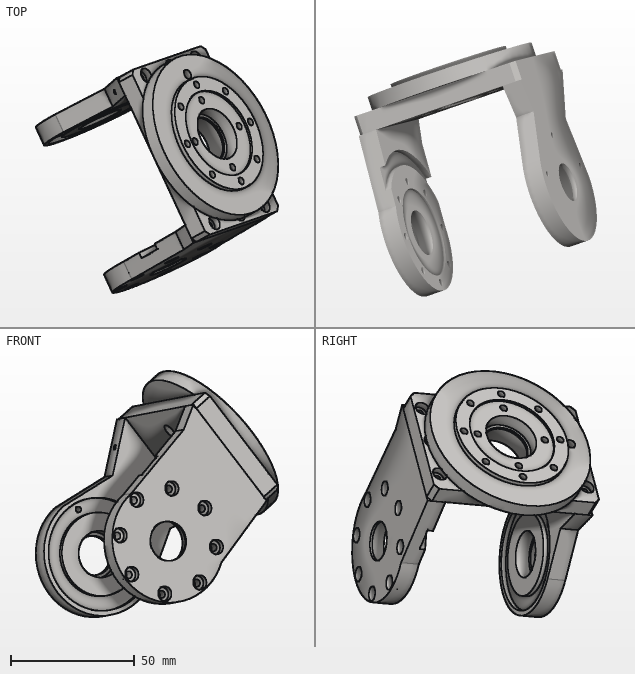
import cadquery as cq
import math


TURN_X = -51.35
TURN_Y = -4.62
TURN_Z = -65.12

YOKE_LENGTH = 74.0
ARM_THICKNESS = 8.0
ARM_HEIGHT = 45.0
ARM_END_RADIUS = 25.0
SIDE_LOW = -35.0
SIDE_HIGH = 15.0
MID_X = -YOKE_LENGTH / 2
MID_Y = (SIDE_LOW + SIDE_HIGH) / 2

BOLT_HOLE_RADIUS = 1.5
BOLT_HEAD_RADIUS = 3.0
BOLT_HEAD_DEPTH = 3.0

BORE_RADIUS = 8.0
BEARING_RADIUS = 9.5

RING_RECESS_RADIUS = 18.5
RING_RECESS_DEPTH = 1.0
RING_BOLT_CIRCLE = 21.5
RING_BOLT_COUNT = 8

NEAR_INNER_X = -ARM_THICKNESS
NEAR_KNEE = (-30.0, 35.0)
NEAR_FLANK_RUN_PER_RISE = 0.2
NEAR_LIP = 1.0
CLEARANCE_INNER_RADIUS = 28.5
CLEARANCE_OUTER_RADIUS = 35.0
CLEARANCE_DEPTH = 2.5

FAR_OUTER_X = -YOKE_LENGTH
FAR_INNER_X = FAR_OUTER_X + ARM_THICKNESS
FAR_WAIST_LOW = (-20.7, 25.3)
FAR_WAIST_HIGH = (11.7, 31.3)
FAR_LIP = 2.0
SEAL_INNER_RADIUS = 17.0
SEAL_OUTER_RADIUS = 23.0
SEAL_DEPTH = 2.0
PIN_CIRCLE = 20.0
PIN_RADIUS = 1.2
PIN_ANGLES = (15.0, 90.0, 165.0)
SIDE_HOLE_RADIUS = 1.0
SIDE_HOLE_DEPTH = 10.0

PLATE_THICKNESS = 8.0
PLATE_CHAMFER = 2.0
PLATE_TOP = ARM_HEIGHT + PLATE_THICKNESS
PLATE_BORE_RADIUS = 10.0
ARM_BOLT_PITCH = 17.0
HUB_BOLT_CIRCLE = 15.0
HUB_BOLT_COUNT = 4
CABLE_HOLE_OFFSET = 27.0
CABLE_HOLE_RADIUS = 2.0

FLANGE_RADIUS = 35.0
FLANGE_THICKNESS = 6.0
COLLAR_RADIUS = 24.6
COLLAR_HEIGHT = 2.0
FLANGE_TOP = PLATE_TOP + FLANGE_THICKNESS
COLLAR_TOP = FLANGE_TOP + COLLAR_HEIGHT
FLANGE_BORE_RADIUS = 11.0
FLANGE_LIP_RADIUS = 9.7
FLANGE_LIP = 1.0


def bar_x(radius, x_start, x_end, y=0.0, z=0.0):
    """Round bar parallel to x."""
    return cq.Workplane("YZ", origin=(x_start, y, z)).circle(radius).extrude(x_end - x_start)


def bar_z(radius, z_start, z_end, x=MID_X, y=MID_Y):
    """Round bar parallel to z, by default on the flange axis."""
    return cq.Workplane("XY", origin=(x, y, z_start)).circle(radius).extrude(z_end - z_start)


def on_circle(radius, angle):
    """Point at an angle in degrees on a circle about the origin."""
    return (radius * math.cos(math.radians(angle)), radius * math.sin(math.radians(angle)))


def even_points(radius, count):
    """Evenly spaced points on a circle about the origin."""
    return [on_circle(radius, 360.0 * i / count) for i in range(count)]


def tangent_point(outside):
    """Point where the line from an outside point touches the arm's round end, on the +y side."""
    span = math.hypot(*outside)
    angle = math.atan2(outside[1], outside[0]) - math.acos(ARM_END_RADIUS / span)
    return on_circle(ARM_END_RADIUS, math.degrees(angle))


def near_flank_end():
    """Point where the near arm's sloping +y flank meets the round end."""
    slope = NEAR_FLANK_RUN_PER_RISE
    y_at_axis = SIDE_HIGH + slope * ARM_HEIGHT
    a = 1 + slope**2
    b = -2 * slope * y_at_axis
    c = y_at_axis**2 - ARM_END_RADIUS**2
    z = (-b + math.sqrt(b**2 - 4 * a * c)) / (2 * a)
    return (y_at_axis - slope * z, z)


def arm_blank(start_x, low_knee, round_end, high_knee=None):
    """Arm plate from a straight top edge, past the low-y knee, round the lower end and back up the
    high-y flank, which leaves the round end at the given point and may have a knee of its own."""
    outline = (
        cq.Workplane("YZ", origin=(start_x, 0, 0))
        .moveTo(SIDE_HIGH, ARM_HEIGHT)
        .lineTo(SIDE_LOW, ARM_HEIGHT)
        .lineTo(*low_knee)
        .lineTo(-ARM_END_RADIUS, 0)
        .threePointArc((0, -ARM_END_RADIUS), round_end)
    )
    if high_knee:
        outline = outline.lineTo(*high_knee)
    return outline.close().extrude(ARM_THICKNESS)


def make_near_arm():
    arm = arm_blank(NEAR_INNER_X, NEAR_KNEE, near_flank_end())

    groove_floor = NEAR_INNER_X + CLEARANCE_DEPTH
    groove = bar_x(CLEARANCE_OUTER_RADIUS, NEAR_INNER_X, groove_floor)
    arm = arm.cut(groove.cut(bar_x(CLEARANCE_INNER_RADIUS, NEAR_INNER_X, groove_floor)))

    arm = arm.cut(bar_x(RING_RECESS_RADIUS, NEAR_INNER_X, NEAR_INNER_X + RING_RECESS_DEPTH))
    arm = arm.cut(bar_x(BEARING_RADIUS, NEAR_INNER_X, -NEAR_LIP))
    arm = arm.cut(bar_x(BORE_RADIUS, NEAR_INNER_X, 0))

    for y, z in even_points(RING_BOLT_CIRCLE, RING_BOLT_COUNT):
        arm = arm.cut(bar_x(BOLT_HOLE_RADIUS, NEAR_INNER_X, 0, y, z))
        arm = arm.cut(bar_x(BOLT_HEAD_RADIUS, -BOLT_HEAD_DEPTH, 0, y, z))
    return arm


def make_far_arm():
    arm = arm_blank(FAR_OUTER_X, FAR_WAIST_LOW, tangent_point(FAR_WAIST_HIGH), FAR_WAIST_HIGH)

    groove_floor = FAR_INNER_X - SEAL_DEPTH
    groove = bar_x(SEAL_OUTER_RADIUS, groove_floor, FAR_INNER_X)
    arm = arm.cut(groove.cut(bar_x(SEAL_INNER_RADIUS, groove_floor, FAR_INNER_X)))

    arm = arm.cut(bar_x(BORE_RADIUS, FAR_OUTER_X, FAR_INNER_X))
    arm = arm.cut(bar_x(BEARING_RADIUS, FAR_OUTER_X + FAR_LIP, FAR_INNER_X))

    for angle in PIN_ANGLES:
        y, z = on_circle(PIN_CIRCLE, angle)
        arm = arm.cut(bar_x(PIN_RADIUS, FAR_OUTER_X, FAR_INNER_X, y, z))

    run = FAR_WAIST_LOW[0] - SIDE_LOW
    drop = FAR_WAIST_LOW[1] - ARM_HEIGHT
    middle = (
        (FAR_OUTER_X + FAR_INNER_X) / 2,
        (SIDE_LOW + FAR_WAIST_LOW[0]) / 2,
        (ARM_HEIGHT + FAR_WAIST_LOW[1]) / 2,
    )
    flank_plane = cq.Plane(origin=middle, xDir=(1, 0, 0), normal=(0, -drop, run))
    hole = cq.Workplane(flank_plane).circle(SIDE_HOLE_RADIUS).extrude(SIDE_HOLE_DEPTH)
    return arm.cut(hole)


def make_bridge():
    plate = (
        cq.Workplane("XY", origin=(MID_X, MID_Y, ARM_HEIGHT))
        .rect(YOKE_LENGTH, SIDE_HIGH - SIDE_LOW)
        .extrude(PLATE_THICKNESS)
        .edges("|Z")
        .chamfer(PLATE_CHAMFER)
    )
    plate = plate.cut(bar_z(PLATE_BORE_RADIUS, ARM_HEIGHT, PLATE_TOP))
    plate = plate.cut(bar_z(CABLE_HOLE_RADIUS, ARM_HEIGHT, PLATE_TOP, MID_X - CABLE_HOLE_OFFSET))

    for x in (-ARM_THICKNESS / 2, (FAR_OUTER_X + FAR_INNER_X) / 2):
        for y in (MID_Y - ARM_BOLT_PITCH, MID_Y, MID_Y + ARM_BOLT_PITCH):
            plate = plate.cut(bar_z(BOLT_HOLE_RADIUS, ARM_HEIGHT, PLATE_TOP, x, y))
            plate = plate.cut(bar_z(BOLT_HEAD_RADIUS, PLATE_TOP - BOLT_HEAD_DEPTH, PLATE_TOP, x, y))

    for dx, dy in even_points(HUB_BOLT_CIRCLE, HUB_BOLT_COUNT):
        x = MID_X + dx
        y = MID_Y + dy
        plate = plate.cut(bar_z(BOLT_HOLE_RADIUS, ARM_HEIGHT, PLATE_TOP, x, y))
        plate = plate.cut(bar_z(BOLT_HEAD_RADIUS, ARM_HEIGHT, ARM_HEIGHT + BOLT_HEAD_DEPTH, x, y))
    return plate


def make_flange():
    flange = bar_z(FLANGE_RADIUS, PLATE_TOP, FLANGE_TOP)
    flange = flange.union(bar_z(COLLAR_RADIUS, FLANGE_TOP, COLLAR_TOP))

    flange = flange.cut(bar_z(RING_RECESS_RADIUS, COLLAR_TOP - RING_RECESS_DEPTH, COLLAR_TOP))
    flange = flange.cut(bar_z(FLANGE_LIP_RADIUS, PLATE_TOP, COLLAR_TOP))
    flange = flange.cut(bar_z(FLANGE_BORE_RADIUS, PLATE_TOP + FLANGE_LIP, COLLAR_TOP))

    ring_bolts = even_points(RING_BOLT_CIRCLE, RING_BOLT_COUNT)
    hub_bolts = even_points(HUB_BOLT_CIRCLE, HUB_BOLT_COUNT)
    for dx, dy in ring_bolts + hub_bolts:
        flange = flange.cut(bar_z(BOLT_HOLE_RADIUS, PLATE_TOP, COLLAR_TOP, MID_X + dx, MID_Y + dy))
    return flange.cut(bar_z(CABLE_HOLE_RADIUS, PLATE_TOP, FLANGE_TOP, MID_X - CABLE_HOLE_OFFSET))


def posed(body):
    """The body's solid, turned from the yoke's own frame into its tilted pose."""
    origin = (0, 0, 0)
    solid = body.val().rotate(origin, (1, 0, 0), TURN_X)
    solid = solid.rotate(origin, (0, 1, 0), TURN_Y)
    return solid.rotate(origin, (0, 0, 1), TURN_Z)


near_arm = posed(make_near_arm())
far_arm = posed(make_far_arm())
bridge = posed(make_bridge())
flange = posed(make_flange())

result = cq.Compound.makeCompound([near_arm, far_arm, bridge, flange])